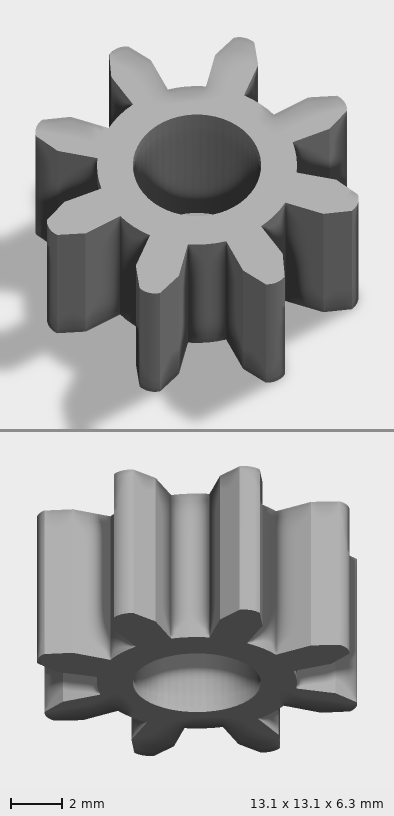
import cadquery as cq

outer_diameter = 13.09
height = 6.3
bore_diameter = 5.0
hub_diameter = 7.8
tooth_count = 8

root_half_width = 0.77
root_distance = 3.82
shoulder_half_width = 0.88
shoulder_distance = 5.4
tip_half_width = 0.42
tip_distance = 6.43
tip_radius = outer_diameter / 2


def make_hub():
    """Round hub that carries the teeth."""
    return cq.Workplane("XY").circle(hub_diameter / 2).extrude(height)


def make_tooth():
    """Tooth along +X: widens to a shoulder, then tapers to a rounded tip."""
    inner_distance = (bore_diameter + hub_diameter) / 4
    return (
        cq.Workplane("XY")
        .moveTo(inner_distance, -root_half_width)
        .lineTo(root_distance, -root_half_width)
        .lineTo(shoulder_distance, -shoulder_half_width)
        .lineTo(tip_distance, -tip_half_width)
        .threePointArc((tip_radius, 0), (tip_distance, tip_half_width))
        .lineTo(shoulder_distance, shoulder_half_width)
        .lineTo(root_distance, root_half_width)
        .lineTo(inner_distance, root_half_width)
        .close()
        .extrude(height)
    )


def make_bore():
    """Cutter for the through bore on the gear axis."""
    return cq.Workplane("XY").circle(bore_diameter / 2).extrude(height)


gear = make_hub()
tooth = make_tooth()
for index in range(tooth_count):
    angle = index * 360 / tooth_count
    gear = gear.union(tooth.rotate((0, 0, 0), (0, 0, 1), angle))

result = gear.cut(make_bore())